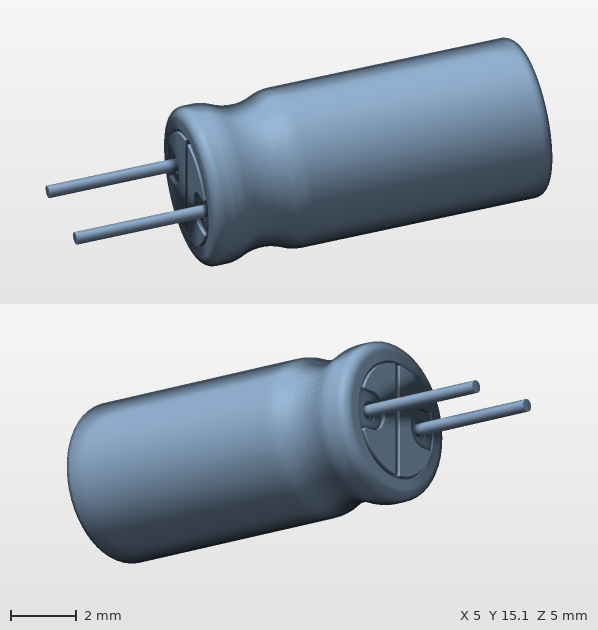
import cadquery as cq
import math

can_diameter = 5.0
can_length = 11.0
overall_length = 15.1
edge_radius = 0.33

neck_center = 1.89
neck_depth = 0.27
groove_half_width = 0.72
shoulder_width = 0.5

mouth_diameter = 3.7
seal_recess = 0.06
pad_diameter = 3.53
pad_height = 0.08
pad_corner_radius = 0.08
pad_gap = 0.23
lead_clearance_diameter = 1.24

lead_diameter = 0.4
lead_pitch = 2.5
hole_mouth_diameter = 0.62
hole_bottom_diameter = 0.47
hole_step_depth = 0.05
hole_depth = 0.15

can_radius = can_diameter / 2
lead_length = overall_length - can_length
half_neck = groove_half_width + shoulder_width
lead_positions = (-lead_pitch / 2, lead_pitch / 2)


def disc(diameter, y_start, y_end, x=0):
    """Round bar along Y between two stations."""
    plane = cq.Plane(origin=(x, y_start, 0), xDir=(1, 0, 0), normal=(0, 1, 0))
    return cq.Workplane(plane).circle(diameter / 2).extrude(y_end - y_start)


def make_can():
    """Solid can turned about Y, with a neck of three tangent arcs and rounded ends."""
    tangent_angle = 2 * math.atan(neck_depth / half_neck)
    shoulder_radius = shoulder_width / math.sin(tangent_angle)
    meeting_radius = can_radius - shoulder_radius * (1 - math.cos(tangent_angle))
    mid_shoulder_radius = can_radius - shoulder_radius * (1 - math.cos(tangent_angle / 2))
    mid_shoulder_offset = half_neck - shoulder_radius * math.sin(tangent_angle / 2)

    profile = (
        cq.Workplane("XY")
        .lineTo(can_radius, 0)
        .lineTo(can_radius, neck_center - half_neck)
        .threePointArc(
            (mid_shoulder_radius, neck_center - mid_shoulder_offset),
            (meeting_radius, neck_center - groove_half_width),
        )
        .threePointArc(
            (can_radius - neck_depth, neck_center),
            (meeting_radius, neck_center + groove_half_width),
        )
        .threePointArc(
            (mid_shoulder_radius, neck_center + mid_shoulder_offset),
            (can_radius, neck_center + half_neck),
        )
        .lineTo(can_radius, can_length)
        .lineTo(0, can_length)
        .close()
    )
    can = profile.revolve(360, (0, 0, 0), (0, 1, 0))
    return can.faces("<Y or >Y").edges().fillet(edge_radius)


def make_pads():
    """Two raised half-round pads, split by a center gap and notched around each lead."""
    thickness = pad_height + seal_recess
    middle = (seal_recess - pad_height) / 2
    pads = disc(pad_diameter, -pad_height, seal_recess)
    gap = cq.Workplane("XY").box(pad_gap, thickness, pad_diameter)
    pads = pads.cut(gap.translate((0, middle, 0)))
    for x in lead_positions:
        pads = pads.cut(disc(lead_clearance_diameter, -pad_height, seal_recess, x))
        channel = cq.Workplane("XY").box(can_radius, thickness, lead_clearance_diameter)
        pads = pads.cut(channel.translate((x + math.copysign(can_radius / 2, x), middle, 0)))
    return pads.edges("|Y").edges("<X or >X").fillet(pad_corner_radius)


def make_lead_hole(x):
    """Stepped hole in the seal, wider at its mouth."""
    mouth = disc(hole_mouth_diameter, seal_recess, seal_recess + hole_step_depth, x)
    return mouth.union(disc(hole_bottom_diameter, seal_recess, seal_recess + hole_depth, x))


result = make_can()
result = result.cut(disc(mouth_diameter, 0, seal_recess))
result = result.union(make_pads())
for lead_x in lead_positions:
    result = result.cut(make_lead_hole(lead_x))
    result = result.union(disc(lead_diameter, -lead_length, seal_recess + hole_depth, lead_x))